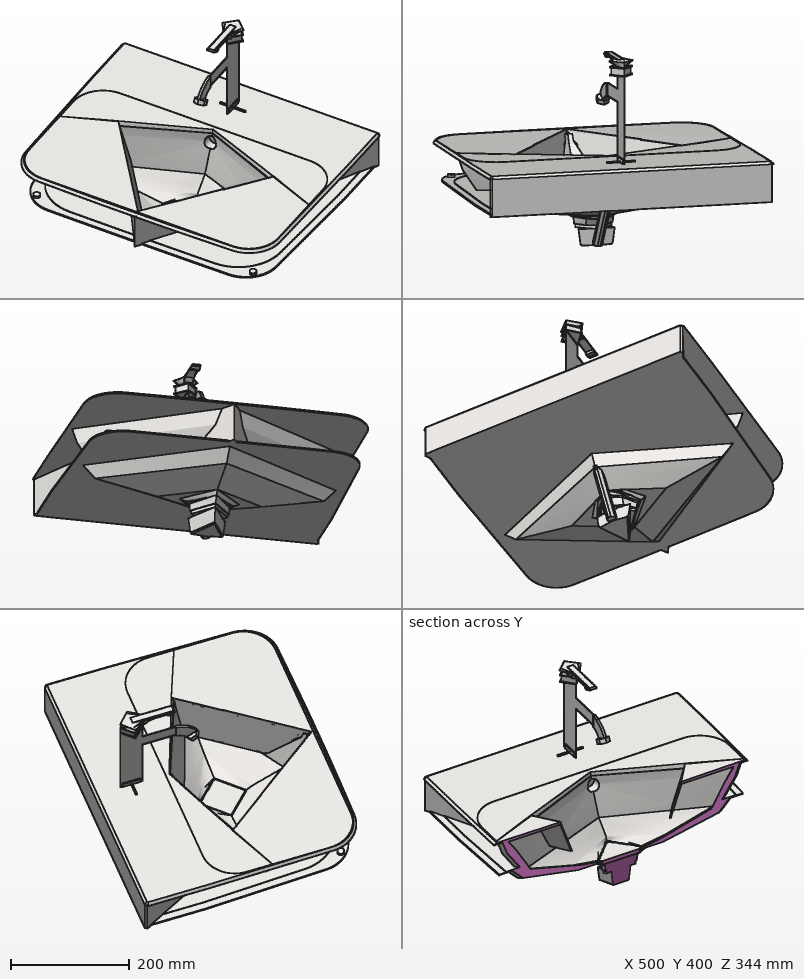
import cadquery as cq
SLAB_BOTTOM = -5.0
RIM_BOTTOM = -7.5
PLATE_TOP = -67.0
PLATE_BOTTOM = -69.5
BASIN_BOTTOM = -113.0
FLOOR = -110.0
TRAP_BOTTOM = -167.5
FAUCET_TOP = 176.5

HALF_WIDTH = 250.0
HALF_DEPTH = 200.0
TAPER_START_Y = 90.0
FRONT_HALF_WIDTH = 246.0
FRONT_SIDE_Y = -196.0
CORNER_RADIUS = 60.0
SLAB_CHAMFER = 4.5
RECESS_DEPTH = 0.5
RECESS_HALF_WIDTH = 242.0
RECESS_BACK_Y = 73.5
RECESS_FRONT_Y = -192.0
RECESS_RADIUS = 57.5

BOWL_Y = -30.0
MOUTH_LEFT = (150.0, 7.5)
MOUTH_BACK_Y = 66.5
MOUTH_FRONT_Y = -189.0
FIN_CORNER = (123.5, 2.5, -68.5)
FIN_LENGTH_RATIO = 0.62
FIN_TOP = -2.5
FIN_THICKNESS = 3.0
THROAT_LEFT = (148.0, 4.0)
THROAT_BACK_Y = 65.0
THROAT_FRONT_Y = -187.5
DISH_HALF_WIDTH = 240.0
DISH_DROP = 1.5
DRAIN_HALF_WIDTH = 42.5
DRAIN_BACK_Y = 13.0
DRAIN_FRONT_Y = -72.5
DRAIN_KINK_X_RATIO = 0.55
DRAIN_KINK_Y_RATIO = 0.72
OUTER_LEVELS = [
    (SLAB_BOTTOM, 239.0, 66.0, -187.0),
    (-30.0, 230.0, 66.0, -180.0),
    (PLATE_TOP, 205.0, 66.0, -152.5),
]
UNDER_LEVELS = [
    (PLATE_BOTTOM, 220.0, 65.0, -169.5),
    (-91.5, 199.0, 53.0, -147.0),
    (BASIN_BOTTOM, 91.0, 14.5, -83.5),
]
INNER_LEVELS = [
    (RIM_BOTTOM, 226.0, 64.5, -182.5),
    (-23.5, 215.0, 61.5, -175.0),
    (-77.5, 183.5, 39.0, -140.0),
    (-102.5, 90.0, 14.5, -83.0),
    (FLOOR, DRAIN_HALF_WIDTH, DRAIN_BACK_Y, DRAIN_FRONT_Y),
]
OVERFLOW_RADIUS = 11.0
OVERFLOW_Z = -23.5
OVERFLOW_END_Y = 72.5
OVERFLOW_LENGTH = 32.5

BACK_BLOCK_Y = -22.5
BACK_BLOCK_FRONT_HALF = 135.0
BACK_CHAMFER = 4.5
PROW_TIP_Y = -HALF_DEPTH
PROW_HALF_WIDTH = 60.0
PROW_LENGTH = 90.0

PLATE_BACK_HALF = 243.5
PLATE_FRONT_HALF = 232.5
PLATE_FRONT_Y = -187.5
PLATE_STEP = 1.0
PLATE_STEP_INSET = 13.0
PLATE_STEP_RADIUS = 82.5
BOSS_X = 210.0
BOSS_Y = -165.0
BOSS_RADIUS = 6.0
BOSS_HEIGHT = 4.0

PLUG_HALF = 41.0
DRAIN_RECESS = 6.0
NECK_LEVELS = [
    (BASIN_BOTTOM, 51.5, 14.0, -83.5),
    (-121.0, 35.5, 3.5, -79.0),
    (-133.0, 34.0, -5.0, -71.5),
]
TRAP_TOP = -139.0
TRAP_SIDE_Y = -11.0
TRAP_HALF_WIDTH = 32.0
TRAP_BACK_Y = -7.5
TRAP_FRONT_Y = -69.0
TRAP_TAPER = 3.5
TRAP_CHAMFER = 2.5
PIPE_TOP_BACK = (54.0, -89.0)
PIPE_TOP_FRONT = (41.5, -89.0)
PIPE_BOTTOM_FRONT = (-11.0, -165.0)
PIPE_BOTTOM_BACK = (3.0, TRAP_BOTTOM)
PIPE_WIDTH = 15.0
PIPE_CHAMFER = 5.0

FAUCET_Y = 134.0
COLUMN_DEPTH = 40.0
PANEL_THICKNESS = 1.0
COLUMN_TOP = 150.0
ARM_BOTTOM = 100.0
ARM_TOP = 122.5
BEND_Y = 54.5
BEND_OUTER_MID = (33.5, 114.5)
BEND_INNER_MID = (44.0, 96.0)
BEND_THICKNESS = 4.5
BASE_WIDTH = 49.0
BASE_DEPTH = 2.5
BASE_HEIGHT = 2.0
FOOT_DEPTH = 32.0
FOOT_WIDTH = 3.0
FOOT_HEIGHT = 7.5
AERATOR_WIDTH = 22.0
AERATOR_LENGTH = 8.5
SPOUT_OUTER = (17.0, 98.0)
SPOUT_INNER = (36.0, 88.0)
COLLAR_HALF = 20.0
COLLAR_CORE_HALF = 17.5
COLLAR_TOP = 165.0
COLLAR_PLATE = 1.5
CAP_LEVELS = [
    (COLLAR_TOP, 8.0, 19.0),
    (174.5, 21.0, 20.0),
    (175.5, 15.0, 18.5),
    (FAUCET_TOP, 0.5, 0.5),
]
CAP_NOSE_RATIO = 0.9
LEVER_WIDTH = 15.0
LEVER_END_Y = 58.0
LEVER_THICKNESS = 3.5
LEVER_CHAMFER = 2.0
LEVER_TIP_SLOPE = 2.0
LEVER_ROOT = (113.0, COLLAR_TOP)
LEVER_ROOT_BEND = (105.0, 171.0)
LEVER_ROOT_END_Y = 95.0
NUB_BACK_Y = 73.5
NUB_FRONT_Y = 62.5
NUB_BOTTOM = 169.5
NUB_SLOPE = 2.5


def prism(points, bottom, top):
    """Upright prism on a plan outline."""
    return cq.Workplane("XY").workplane(offset=bottom).polyline(points).close().extrude(top - bottom)


def side_panel(points, thickness):
    """Panel from a (Y, Z) outline, centred on X = 0."""
    return cq.Workplane("YZ").polyline(points).close().extrude(thickness / 2, both=True)


def kite(half_width, side_y, back_y, front_y):
    """Plan points of a four-cornered kite, symmetric about X = 0."""
    return [(-half_width, side_y), (0, front_y), (half_width, side_y), (0, back_y)]


def stack(sections):
    """Ruled stack through (height, plan points) sections."""
    wires = []
    for z, points in sections:
        wires.append(cq.Wire.makePolygon([cq.Vector(x, y, z) for x, y in points], close=True))
    solid = cq.Workplane(cq.Solid.makeLoft(wires[:2], True))
    for lower, upper in zip(wires[1:-1], wires[2:]):
        solid = solid.union(cq.Workplane(cq.Solid.makeLoft([lower, upper], True)))
    return solid


def diamond_stack(levels):
    return stack([(z, kite(half, BOWL_Y, back, front)) for z, half, back, front in levels])


def rounded_front(back_half, front_half, back_y, front_y, tip_y, radius, bottom, top):
    """Plate with straight sides, rounded front corners and a slightly bowed front edge."""
    plate = (
        cq.Workplane("XY").workplane(offset=bottom)
        .moveTo(-back_half, back_y).lineTo(-back_half, TAPER_START_Y).lineTo(-front_half, front_y)
        .threePointArc((0, tip_y), (front_half, front_y))
        .lineTo(back_half, TAPER_START_Y).lineTo(back_half, back_y).close().extrude(top - bottom)
    )
    return plate.edges("|Z").edges("<Y").fillet(radius)


def make_slab():
    slab = rounded_front(HALF_WIDTH, FRONT_HALF_WIDTH, HALF_DEPTH, FRONT_SIDE_Y, -HALF_DEPTH,
                         CORNER_RADIUS, SLAB_BOTTOM, 0)
    slab = slab.edges(">Y and |Z").chamfer(BACK_CHAMFER)
    slab = slab.faces(">Z").edges().chamfer(SLAB_CHAMFER)
    recess = (
        cq.Workplane("XY")
        .center(0, (RECESS_BACK_Y + RECESS_FRONT_Y) / 2)
        .rect(2 * RECESS_HALF_WIDTH, RECESS_BACK_Y - RECESS_FRONT_Y)
        .extrude(-RECESS_DEPTH)
        .edges("|Z").fillet(RECESS_RADIUS)
    )
    return slab.cut(recess)


def dish_facet(side):
    """Shallow facet that falls from the outer diamond towards a side corner of the mouth."""
    outer = cq.Vector(side * DISH_HALF_WIDTH, BOWL_Y, -RECESS_DEPTH)
    front = cq.Vector(0, MOUTH_FRONT_Y, -RECESS_DEPTH)
    mouth = cq.Vector(side * MOUTH_LEFT[0], MOUTH_LEFT[1], -RECESS_DEPTH)
    sunk = mouth - cq.Vector(0, 0, DISH_DROP)
    corners = [(outer, front, mouth), (outer, front, sunk), (outer, mouth, sunk), (front, mouth, sunk)]
    faces = [cq.Face.makeFromWires(cq.Wire.makePolygon(list(c), close=True)) for c in corners]
    return cq.Workplane(cq.Solid.makeSolid(cq.Shell.makeShell(faces)))


def make_fin(side):
    """Leaning fin that hangs below a front edge of the mouth."""
    back = cq.Vector(side * MOUTH_LEFT[0], MOUTH_LEFT[1], FIN_TOP)
    front = cq.Vector(0, MOUTH_FRONT_Y, FIN_TOP)
    low_back = cq.Vector(side * FIN_CORNER[0], *FIN_CORNER[1:])
    low_front = low_back + (front - back) * FIN_LENGTH_RATIO
    inner = cq.Wire.makePolygon([back, front, low_front, low_back], close=True)
    outer = inner.translate(cq.Vector(side * FIN_THICKNESS, 0, 0))
    return cq.Workplane(cq.Solid.makeLoft([inner, outer], True))


def make_supports():
    block = prism(
        [(-HALF_WIDTH, HALF_DEPTH), (-BACK_BLOCK_FRONT_HALF, BACK_BLOCK_Y),
         (BACK_BLOCK_FRONT_HALF, BACK_BLOCK_Y), (HALF_WIDTH, HALF_DEPTH)],
        PLATE_BOTTOM, SLAB_BOTTOM,
    ).edges(">Y and |Z").chamfer(BACK_CHAMFER)
    prow_back = PROW_TIP_Y + PROW_LENGTH
    prow = prism([(-PROW_HALF_WIDTH, prow_back), (0, PROW_TIP_Y), (PROW_HALF_WIDTH, prow_back)],
                 PLATE_BOTTOM, SLAB_BOTTOM)
    return block.union(prow)


def make_lower_plate():
    plate = rounded_front(PLATE_BACK_HALF, PLATE_FRONT_HALF, HALF_DEPTH, PLATE_FRONT_Y,
                          PLATE_FRONT_Y - PLATE_STEP, CORNER_RADIUS, PLATE_BOTTOM, PLATE_TOP)
    step_front = PLATE_FRONT_Y + PLATE_STEP_INSET
    step = rounded_front(PLATE_BACK_HALF - PLATE_STEP_INSET, PLATE_FRONT_HALF - PLATE_STEP_INSET,
                         HALF_DEPTH, step_front, step_front - PLATE_STEP,
                         PLATE_STEP_RADIUS, PLATE_TOP, PLATE_TOP + PLATE_STEP)
    bosses = (
        cq.Workplane("XY").workplane(offset=PLATE_TOP)
        .pushPoints([(-BOSS_X, BOSS_Y), (BOSS_X, BOSS_Y)])
        .circle(BOSS_RADIUS).extrude(BOSS_HEIGHT)
    )
    return plate.union(step).union(bosses)


def drain_outline(half_width, back_y, front_y):
    """Kite whose back sides bulge outwards."""
    kink_x = DRAIN_KINK_X_RATIO * half_width
    kink_y = BOWL_Y + DRAIN_KINK_Y_RATIO * (back_y - BOWL_Y)
    return [(-half_width, BOWL_Y), (0, front_y), (half_width, BOWL_Y),
            (kink_x, kink_y), (0, back_y), (-kink_x, kink_y)]


def make_basin():
    basin = make_slab().union(diamond_stack(OUTER_LEVELS)).union(make_supports())
    basin = basin.union(make_lower_plate()).union(diamond_stack(UNDER_LEVELS))
    mouth = stack([
        (0, kite(*MOUTH_LEFT, MOUTH_BACK_Y, MOUTH_FRONT_Y)),
        (RIM_BOTTOM, kite(*THROAT_LEFT, THROAT_BACK_Y, THROAT_FRONT_Y)),
    ])
    basin = basin.cut(mouth).cut(diamond_stack(INNER_LEVELS))
    for side in (-1, 1):
        basin = basin.cut(dish_facet(side)).union(make_fin(side))
    overflow = (
        cq.Workplane("XZ", origin=(0, OVERFLOW_END_Y, OVERFLOW_Z))
        .circle(OVERFLOW_RADIUS).extrude(OVERFLOW_LENGTH)
    )
    drain = prism(drain_outline(DRAIN_HALF_WIDTH, DRAIN_BACK_Y, DRAIN_FRONT_Y), BASIN_BOTTOM, FLOOR)
    return basin.cut(overflow).cut(drain)


def make_plug():
    outline = kite(PLUG_HALF, BOWL_Y, BOWL_Y + PLUG_HALF, BOWL_Y - PLUG_HALF)
    return prism(outline, BASIN_BOTTOM - DRAIN_RECESS, FLOOR)


def make_trap():
    neck = stack([(z, drain_outline(half, back, front)) for z, half, back, front in NECK_LEVELS])
    neck_bottom, _, neck_back, _ = NECK_LEVELS[-1]
    recess_bottom = BASIN_BOTTOM - DRAIN_RECESS
    neck = neck.cut(prism(drain_outline(DRAIN_HALF_WIDTH, DRAIN_BACK_Y, DRAIN_FRONT_Y), recess_bottom, FLOOR))
    joint = prism(kite(TRAP_HALF_WIDTH, BOWL_Y, neck_back, TRAP_FRONT_Y), TRAP_TOP, neck_bottom)
    chamfer_z = TRAP_BOTTOM + TRAP_CHAMFER
    cup_levels = [(TRAP_TOP, 0), (chamfer_z, TRAP_TAPER), (TRAP_BOTTOM, TRAP_TAPER + TRAP_CHAMFER)]
    cup = stack([
        (z, kite(TRAP_HALF_WIDTH - inset, TRAP_SIDE_Y, TRAP_BACK_Y, TRAP_FRONT_Y + inset))
        for z, inset in cup_levels
    ])
    return neck.union(joint).union(cup)


def make_overflow_pipe(trap):
    """Slanted duct from the back of the bowl down to the back of the trap."""
    pipe = side_panel([PIPE_TOP_BACK, PIPE_TOP_FRONT, PIPE_BOTTOM_FRONT, PIPE_BOTTOM_BACK], PIPE_WIDTH)
    middle_y = (PIPE_TOP_BACK[0] + PIPE_BOTTOM_BACK[0]) / 2
    middle_z = (PIPE_TOP_BACK[1] + PIPE_BOTTOM_BACK[1]) / 2
    back_face = cq.selectors.NearestToPointSelector((0, middle_y, middle_z))
    pipe = pipe.faces(back_face).edges("not |X").chamfer(PIPE_CHAMFER)
    return pipe.cut(diamond_stack(UNDER_LEVELS)).cut(trap)


def make_column():
    back = FAUCET_Y + COLUMN_DEPTH / 2
    front = FAUCET_Y - COLUMN_DEPTH / 2
    column = side_panel([(back, 0), (front, 0), (front, COLUMN_TOP), (back, COLUMN_TOP)], PANEL_THICKNESS)
    arm = side_panel([(front, ARM_BOTTOM), (BEND_Y, ARM_BOTTOM), (BEND_Y, ARM_TOP), (front, ARM_TOP)],
                     PANEL_THICKNESS)
    bend = (
        cq.Workplane("YZ").moveTo(BEND_Y, ARM_TOP)
        .threePointArc(BEND_OUTER_MID, SPOUT_OUTER)
        .lineTo(*SPOUT_INNER)
        .threePointArc(BEND_INNER_MID, (BEND_Y, ARM_BOTTOM))
        .close().extrude(BEND_THICKNESS / 2, both=True)
    )
    return column.union(arm).union(bend)


def make_base():
    bar = cq.Workplane("XY").box(BASE_WIDTH, BASE_DEPTH, BASE_HEIGHT, (True, True, False))
    foot = cq.Workplane("XY").box(FOOT_WIDTH, FOOT_DEPTH, FOOT_HEIGHT, (True, True, False))
    return bar.union(foot).translate((0, FAUCET_Y, 0))


def make_aerator():
    """Hexagonal nozzle that continues the spout, square to its end face."""
    centre = (0, (SPOUT_OUTER[0] + SPOUT_INNER[0]) / 2, (SPOUT_OUTER[1] + SPOUT_INNER[1]) / 2)
    across = cq.Vector(0, SPOUT_INNER[0] - SPOUT_OUTER[0], SPOUT_INNER[1] - SPOUT_OUTER[1])
    outlet = cq.Vector(1, 0, 0).cross(across) * -1
    end_plane = cq.Plane(origin=centre, xDir=across, normal=outlet)
    return cq.Workplane(end_plane).polygon(6, AERATOR_WIDTH).extrude(AERATOR_LENGTH)


def make_collar():
    def layer(half_width, bottom, top):
        return prism(kite(half_width, FAUCET_Y, FAUCET_Y + COLLAR_HALF, FAUCET_Y - COLLAR_HALF), bottom, top)

    core = layer(COLLAR_CORE_HALF, COLUMN_TOP, COLLAR_TOP)
    lower_disc = layer(COLLAR_HALF, COLUMN_TOP, COLUMN_TOP + COLLAR_PLATE)
    upper_disc = layer(COLLAR_HALF, COLLAR_TOP - COLLAR_PLATE, COLLAR_TOP)
    return core.union(lower_disc).union(upper_disc)


def make_handle():
    def cap_outline(half_width, half_depth):
        nose = min(CAP_NOSE_RATIO * half_width, LEVER_WIDTH / 2)
        return [(-half_width, FAUCET_Y), (-nose, FAUCET_Y - half_depth), (nose, FAUCET_Y - half_depth),
                (half_width, FAUCET_Y), (0, FAUCET_Y + half_depth)]

    cap = stack([(z, cap_outline(width, depth)) for z, width, depth in CAP_LEVELS])
    lever_bottom = FAUCET_TOP - LEVER_THICKNESS
    underside = [(FAUCET_Y, COLLAR_TOP), LEVER_ROOT, LEVER_ROOT_BEND, (LEVER_ROOT_END_Y, lever_bottom),
                 (NUB_BACK_Y, lever_bottom), (NUB_BACK_Y - NUB_SLOPE, NUB_BOTTOM),
                 (NUB_FRONT_Y + NUB_SLOPE, NUB_BOTTOM), (NUB_FRONT_Y, lever_bottom)]
    tip = [(LEVER_END_Y, lever_bottom), (LEVER_END_Y + LEVER_TIP_SLOPE, FAUCET_TOP)]
    lever = side_panel([(FAUCET_Y, FAUCET_TOP), *underside, *tip], LEVER_WIDTH)
    lever = lever.faces(">Z").edges("|Y").chamfer(LEVER_CHAMFER)
    return cap.union(lever)


basin = make_basin()
plug = make_plug()
trap = make_trap()
overflow_pipe = make_overflow_pipe(trap)
base = make_base()
column = make_column().cut(base)
aerator = make_aerator()
collar = make_collar()
handle = make_handle()
result = cq.Compound.makeCompound([
    basin.val(), plug.val(), trap.val(), overflow_pipe.val(), column.val(),
    base.val(), aerator.val(), collar.val(), handle.val(),
])